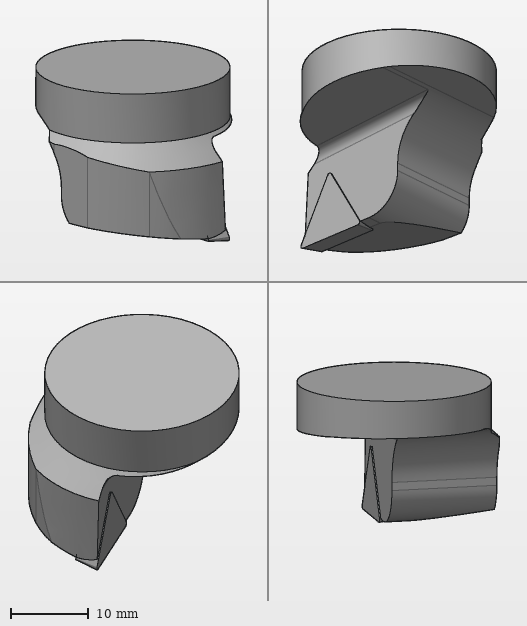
import cadquery as cq
import math


disc_radius = 25.0 / 2
disc_height = 6.55
neck_radius = 15.75
neck_bottom = -9.55
flank_radius = 16.42
flank_bottom = -20.55
margin = 23.5

relief_x = 1.67
relief_y = 2.25
relief_radius = 16.15
side_flat_y = -13.63
heel_x = -4.1
shoulder_start_x = 12.1
shoulder_end = (16.35, -2.4)

floor_tilt = math.radians(4.85)
floor_left_z = -4.88
wall_x = 0.0
upper_radius = 7.95
upper_arc_end_z = -13.22
lower_radius = 5.05
nose_bottom = -19.33
lower_arc_start_z = nose_bottom + lower_radius

rake_y = 0.3
rake_yaw = math.radians(1.65)
pocket_fillet = 2.8 / 2

nose_slope = math.radians(7.8)
nose_slope_start = -19.65

tip_x = 29.37 - disc_radius
tip_z = -20.0
insert_depth = 3.17
insert_inradius = 3.15
insert_corner = 0.35
insert_back_corner = 0.12
insert_clearance = 0.47
insert_tilt = 1.0
insert_proud = 0.18


def floor_z(x):
    """Height of the tilted gullet floor."""
    return floor_left_z - (x + disc_radius) * math.tan(floor_tilt)


def rake_face_y(x):
    return rake_y - x * math.tan(rake_yaw)


def make_blank():
    """Disc, 45-degree neck and tapered flank as one revolved shape."""
    return (
        cq.Workplane("XZ")
        .polyline([
            (0, 0),
            (disc_radius, 0),
            (disc_radius, -disc_height),
            (neck_radius, neck_bottom),
            (flank_radius, flank_bottom),
            (0, flank_bottom),
        ])
        .close()
        .revolve(360, (0, 0), (0, 1))
    )


def relief_point(x):
    """Point of the relief arc at the given x, on its -Y side."""
    return x, relief_y - math.sqrt(relief_radius**2 - (x - relief_x)**2)


def make_relief_limit():
    """Everything inside the relieved wall; the disc itself is left whole."""
    flat_half = math.sqrt(relief_radius**2 - (relief_y - side_flat_y)**2)
    flat_start_x = relief_x - flat_half
    flat_end_x = relief_x + flat_half
    nose_limit = (
        cq.Workplane("XY")
        .workplane(offset=flank_bottom)
        .moveTo(*relief_point(heel_x))
        .threePointArc(relief_point((heel_x + flat_start_x) / 2), (flat_start_x, side_flat_y))
        .lineTo(flat_end_x, side_flat_y)
        .threePointArc(relief_point((flat_end_x + shoulder_start_x) / 2), relief_point(shoulder_start_x))
        .tangentArcPoint(shoulder_end, relative=False)
        .lineTo(margin, shoulder_end[1])
        .lineTo(margin, margin)
        .lineTo(-margin, margin)
        .lineTo(-margin, relief_point(heel_x)[1])
        .close()
        .extrude(-flank_bottom)
    )
    disc = cq.Workplane("XY").circle(disc_radius).extrude(-disc_height)
    return nose_limit.union(disc)


def make_gullet_limit():
    """Material left above and to the right of the S-shaped gullet."""
    upper_x = wall_x - upper_radius
    lower_x = wall_x + lower_radius
    upper_start_x = upper_x + upper_radius * math.sin(floor_tilt)
    mid_angle = (math.pi / 2 - floor_tilt) / 2
    upper_mid = (
        upper_x + upper_radius * math.cos(mid_angle),
        upper_arc_end_z + upper_radius * math.sin(mid_angle),
    )
    diagonal = lower_radius * math.sqrt(0.5)
    upper_start_z = upper_arc_end_z + upper_radius * math.cos(floor_tilt)
    return (
        cq.Workplane("XZ")
        .moveTo(-margin, floor_z(-margin))
        .lineTo(upper_start_x, upper_start_z)
        .threePointArc(upper_mid, (wall_x, upper_arc_end_z))
        .lineTo(wall_x, lower_arc_start_z)
        .threePointArc((lower_x - diagonal, lower_arc_start_z - diagonal), (lower_x, nose_bottom))
        .lineTo(margin, nose_bottom)
        .lineTo(margin, margin)
        .lineTo(-margin, margin)
        .close()
        .extrude(margin, both=True)
    )


def make_chip_pocket():
    """Space in front of the rake face, below the tilted floor."""
    block = (
        cq.Workplane("XY")
        .polyline([
            (-margin, rake_face_y(-margin)),
            (margin, rake_face_y(margin)),
            (margin, margin),
            (-margin, margin),
        ])
        .close()
        .extrude(-margin)
    )
    below_floor = (
        cq.Workplane("XZ")
        .polyline([
            (-margin, floor_z(-margin)),
            (margin, floor_z(margin)),
            (margin, -margin),
            (-margin, -margin),
        ])
        .close()
        .extrude(margin, both=True)
    )
    corner = (0, rake_y, floor_z(0))
    return block.intersect(below_floor).edges(cq.NearestToPointSelector(corner)).fillet(pocket_fillet)


def make_nose_relief():
    """Wedge below the nose, sloped up towards -Y."""
    rise = margin * math.tan(nose_slope)
    return (
        cq.Workplane("YZ")
        .polyline([
            (rake_y, nose_slope_start),
            (rake_y - margin, nose_slope_start + rise),
            (rake_y - margin, -margin),
            (rake_y, -margin),
        ])
        .close()
        .extrude(margin, both=True)
    )


def rounded_triangle(inradius, corner, depth):
    """Wire of an equilateral triangle, one side down, at the given depth along -Y."""
    reach = 2 * (inradius - corner)

    def corner_point(direction, angle):
        return (
            reach * math.cos(direction) + corner * math.cos(angle),
            reach * math.sin(direction) + corner * math.sin(angle),
        )

    corner_half_angle = math.radians(60)
    outline = cq.Workplane("XZ", origin=(0, -depth, 0))
    for index in range(3):
        direction = math.radians(90 + 120 * index)
        start = corner_point(direction, direction - corner_half_angle)
        middle = corner_point(direction, direction)
        end = corner_point(direction, direction + corner_half_angle)
        outline = outline.moveTo(*start) if index == 0 else outline.lineTo(*start)
        outline = outline.threePointArc(middle, end)
    return outline.close().val()


def make_insert():
    """Triangular insert, tapered towards its back and lying along the rake face."""
    front = rounded_triangle(insert_inradius, insert_corner, 0)
    back = rounded_triangle(insert_inradius - insert_clearance, insert_back_corner, insert_depth)
    solid = cq.Workplane(obj=cq.Solid.makeLoft([front, back], True))
    solid = solid.rotate((0, 0, 0), (0, 1, 0), insert_tilt)
    solid = solid.rotate((0, 0, 0), (0, 0, 1), -math.degrees(rake_yaw))
    box = solid.val().BoundingBox()
    center_x = tip_x - box.xmax
    return solid.translate((center_x, rake_face_y(center_x) + insert_proud, tip_z - box.zmin))


insert = make_insert()
head = (
    make_blank()
    .intersect(make_relief_limit())
    .intersect(make_gullet_limit())
    .cut(make_chip_pocket())
    .cut(make_nose_relief())
    .cut(insert)
)

result = cq.Compound.makeCompound([head.val(), insert.val()])